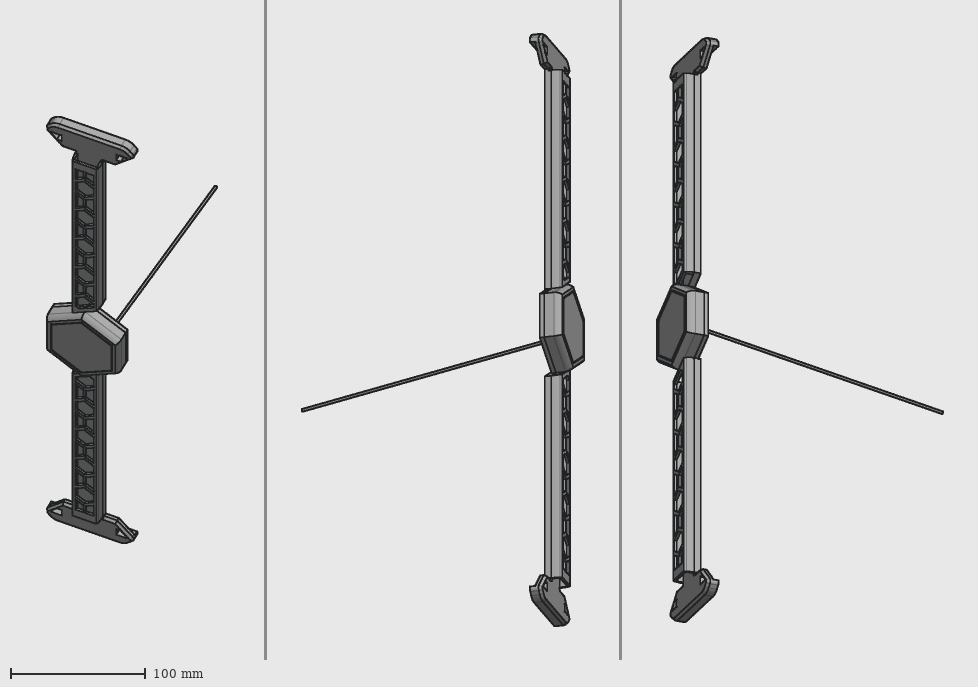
import cadquery as cq
import math


SLOPE = math.tan(math.radians(30))
COS30 = math.cos(math.radians(30))

hub_apothem = 30.0
hub_radius = hub_apothem / COS30
hub_back = -2.0
parting_y = -5.4
hub_round_start = -12.8
hub_front = -18.9
hub_rim_inset = 2.4
pocket_apothem = 24.9
pocket_depth = 2.0
panel_gap = 0.6

tip_z = 225.0
arm_end_z = 201.5
arm_half = 11.3
cover_front = -13.4
cover_round_inset = 0.8
cover_chamfer_inset = 0.7
cover_chamfer_depth = 1.8
channel_half = 9.2
skin = 2.0

cell_apothem = 7.6
cell_wall = 2.9
end_wall = 3.6
divider = 1.5
cell_pitch = 32.8
cell_count = 5
first_cell_z = 174.0
openings_end_z = 193.5

bevel_depth = 2.6
bevel_angle = 30
foot_z = 202.8
corner_radius = 10.0
corner_start_x = 25.2
ear_radius = 3.0
ear_x = 70.96 / 2 - ear_radius
ear_z = 217.6
neck_overlap = 3.5
lip_depth = 4.0
lip_bottom_z = 216.0
window_inner_x = 22.2
window_outer_x = 30.6
window_bottom_z = 209.8
window_bar = 2.0

rod_diameter = 2.22
rod_length = 200.0
rod_tilt = 10.0
rod_x = 10.9
rod_back_z = -3.1
rod_seat = 0.1


def front_plane(y):
    """Sketch plane with X right and Z up; a positive extrusion runs forward, toward -Y."""
    return cq.Workplane("XZ", origin=(0, y, 0))


def upright_hexagon(y, apothem, depth, centre_z=0.0):
    """Hexagonal prism with two upright sides, running forward from y."""
    diameter = 2 * apothem / COS30
    sketch = front_plane(y).center(0, centre_z).transformed(rotate=(0, 0, 90))
    return sketch.polygon(6, diameter).extrude(depth)


def flank_midpoint(half_width, start_y, inset, end_y):
    """Middle of the arc that leaves a straight flank tangentially and leans in by the inset."""
    depth = start_y - end_y
    radius = (depth**2 + inset**2) / (2 * inset)
    half_angle = math.asin(depth / radius) / 2
    return (half_width - radius * (1 - math.cos(half_angle)), start_y - radius * math.sin(half_angle))


def mirrored_x(point):
    return (-point[0], point[1])


def make_rod():
    angle = math.radians(rod_tilt)
    start_y = hub_back - rod_seat
    start = cq.Vector(rod_x, start_y, rod_back_z + rod_seat * math.tan(angle))
    direction = cq.Vector(0, math.cos(angle), -math.sin(angle))
    return cq.Workplane(cq.Solid.makeCylinder(rod_diameter / 2, rod_length, start, direction))


def make_hub_base(rod):
    return upright_hexagon(hub_back, hub_apothem, hub_back - parting_y).cut(rod)


def make_hub_housing():
    """Hexagon with rounded front edges, as the overlap of three rounded bars, and a front pocket."""
    rim_half = hub_apothem - hub_rim_inset
    flank = flank_midpoint(hub_apothem, hub_round_start, hub_rim_inset, hub_front)
    bar = (
        cq.Workplane("XY", origin=(0, 0, -hub_radius))
        .moveTo(-hub_apothem, parting_y)
        .lineTo(hub_apothem, parting_y)
        .lineTo(hub_apothem, hub_round_start)
        .threePointArc(flank, (rim_half, hub_front))
        .lineTo(-rim_half, hub_front)
        .threePointArc(mirrored_x(flank), (-hub_apothem, hub_round_start))
        .close()
        .extrude(2 * hub_radius)
    )
    housing = bar
    for angle in (60, 120):
        housing = housing.intersect(bar.rotate((0, 0, 0), (0, 1, 0), angle))
    return housing.cut(upright_hexagon(hub_front + pocket_depth, pocket_apothem, pocket_depth))


def make_hub_panel():
    return upright_hexagon(hub_front + pocket_depth, pocket_apothem - panel_gap, pocket_depth)


def above_slant(half_width, offset, top_z, depth):
    """Prism above a line parallel to the hub's upper left side, at the given distance from it."""
    middle_z = hub_radius + offset / COS30
    rise = half_width * SLOPE
    outline = [
        (-half_width, middle_z - rise),
        (half_width, middle_z + rise),
        (half_width, top_z),
        (-half_width, top_z),
    ]
    return front_plane(0).polyline(outline).close().extrude(depth)


def make_bracket():
    """T-shaped plate with a bevelled front edge, two windows and a lip along the back of its tip."""
    diagonal = math.sqrt(0.5)
    corner_x = corner_start_x + corner_radius * diagonal
    corner_z = tip_z - corner_radius * (1 - diagonal)
    corner_mid = math.radians(22.5)
    arc_x = corner_start_x + corner_radius * math.sin(corner_mid)
    arc_z = tip_z - corner_radius * (1 - math.cos(corner_mid))
    tangent_x = ear_x + ear_radius * diagonal
    ear_top_z = ear_z + ear_radius * diagonal
    ear_bottom_z = ear_z - ear_radius * diagonal
    foot_x = tangent_x - (ear_bottom_z - foot_z)
    neck_z = arm_end_z - neck_overlap

    outline = (
        front_plane(0)
        .moveTo(-arm_half, neck_z)
        .lineTo(arm_half, neck_z)
        .lineTo(arm_half, foot_z)
        .lineTo(foot_x, foot_z)
        .lineTo(tangent_x, ear_bottom_z)
        .threePointArc((ear_x + ear_radius, ear_z), (tangent_x, ear_top_z))
        .lineTo(corner_x, corner_z)
        .threePointArc((arc_x, arc_z), (corner_start_x, tip_z))
        .lineTo(-corner_start_x, tip_z)
        .threePointArc((-arc_x, arc_z), (-corner_x, corner_z))
        .lineTo(-tangent_x, ear_top_z)
        .threePointArc((-ear_x - ear_radius, ear_z), (-tangent_x, ear_bottom_z))
        .lineTo(-foot_x, foot_z)
        .lineTo(-arm_half, foot_z)
        .close()
        .wire()
        .val()
    )
    straight = -parting_y - bevel_depth
    plate = front_plane(0).add(outline).toPending().extrude(straight)
    bevel_outline = outline.translate(cq.Vector(0, -straight, 0))
    bevel = front_plane(-straight).add(bevel_outline).toPending().extrude(bevel_depth, taper=bevel_angle)
    lip = front_plane(0).add(outline).toPending().extrude(-lip_depth)
    lip_zone = cq.Workplane().box(2 * tip_z, 2 * lip_depth, tip_z - lip_bottom_z)
    lip = lip.intersect(lip_zone.translate((0, 0, (tip_z + lip_bottom_z) / 2)))
    bracket = plate.union(bevel).union(lip)

    bar_sum = tangent_x - ear_bottom_z - window_bar / diagonal
    for side in (-1, 1):
        window = [
            (side * window_inner_x, window_bottom_z),
            (side * (bar_sum + window_bottom_z), window_bottom_z),
            (side * window_outer_x, window_outer_x - bar_sum),
            (side * window_outer_x, lip_bottom_z),
            (side * window_inner_x, lip_bottom_z),
        ]
        bracket = bracket.cut(front_plane(0).polyline(window).close().extrude(-parting_y))
    return bracket


def make_arm_base():
    """Flat bar in one piece with its bracket."""
    return above_slant(arm_half, 0, arm_end_z, -parting_y).union(make_bracket())


def make_cover_openings():
    """Row of hexagonal cells with pairs of smaller openings between them."""
    depth = -cover_front
    centres = [first_cell_z - cell_pitch * index for index in range(cell_count)]
    gaps_height = openings_end_z - centres[-1]
    gaps = front_plane(0).center(0, centres[-1] + gaps_height / 2)
    gaps = gaps.rect(2 * cell_apothem, gaps_height).extrude(depth)
    gaps = gaps.cut(front_plane(0).rect(divider, 2 * tip_z).extrude(depth))
    for centre in centres:
        gaps = gaps.cut(upright_hexagon(0, cell_apothem + cell_wall, depth, centre))
    openings = gaps
    for centre in centres:
        openings = openings.union(upright_hexagon(0, cell_apothem, depth, centre))
    return openings.intersect(above_slant(cell_apothem, end_wall, openings_end_z, depth))


def make_arm_cover():
    """Channel with curved, chamfered flanks, open at the back and at both ends, pierced by the openings."""
    shoulder_half = arm_half - cover_round_inset
    shoulder_y = cover_front + cover_chamfer_depth
    front_half = shoulder_half - cover_chamfer_inset
    flank = flank_midpoint(arm_half, parting_y, cover_round_inset, shoulder_y)
    ceiling_y = cover_front + skin
    channel = (
        cq.Workplane("XY")
        .moveTo(channel_half, parting_y)
        .lineTo(arm_half, parting_y)
        .threePointArc(flank, (shoulder_half, shoulder_y))
        .lineTo(front_half, cover_front)
        .lineTo(-front_half, cover_front)
        .lineTo(-shoulder_half, shoulder_y)
        .threePointArc(mirrored_x(flank), (-arm_half, parting_y))
        .lineTo(-channel_half, parting_y)
        .lineTo(-channel_half, ceiling_y)
        .lineTo(channel_half, ceiling_y)
        .close()
        .extrude(tip_z)
    )
    cover = channel.intersect(above_slant(arm_half, 0, arm_end_z, -cover_front))
    return cover.cut(make_cover_openings())


rod = make_rod()
hub_base = make_hub_base(rod)
hub_housing = make_hub_housing()
hub_panel = make_hub_panel()

arm_parts = []
for body in (make_arm_base(), make_arm_cover()):
    for turn in (0, 180):
        arm_parts.append(body.rotate((0, 0, 0), (0, 1, 0), turn).val())

result = cq.Compound.makeCompound(
    [rod.val(), hub_base.val(), hub_housing.val(), hub_panel.val(), *arm_parts]
)